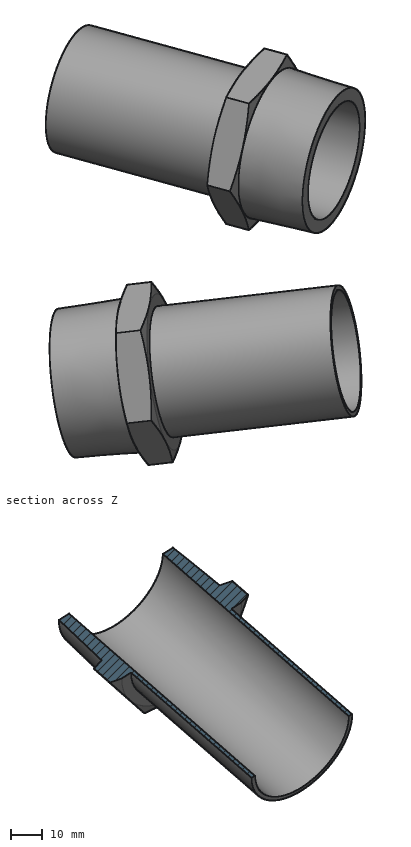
import cadquery as cq
import math

total_length = 91.0
hex_start = 59.0
hex_width = 10.1
hex_end = hex_start + hex_width

tube_diameter = 42.0
bore_diameter = 39.0
taper_large_diameter = 49.4
taper_small_diameter = 47.7

across_flats = 50.0
across_corners = across_flats / math.cos(math.radians(30))
chamfer_depth = 1.1


def revolve_about_x(profile):
    """Revolve a closed list of (x, radius) points about the X axis."""
    return cq.Workplane("XY").polyline(profile).close().revolve(360, (0, 0, 0), (1, 0, 0))


def make_tube():
    return cq.Workplane("YZ").circle(tube_diameter / 2).extrude(hex_end)


def make_hex_collar():
    """Hexagonal prism with both faces chamfered from the inscribed circle to the corners."""
    prism = cq.Workplane("YZ", origin=(hex_start, 0, 0)).polygon(6, across_corners).extrude(hex_width)
    flat_radius = across_flats / 2
    corner_radius = across_corners / 2
    chamfer_envelope = revolve_about_x([
        (hex_start, 0),
        (hex_start, flat_radius),
        (hex_start + chamfer_depth, corner_radius),
        (hex_end - chamfer_depth, corner_radius),
        (hex_end, flat_radius),
        (hex_end, 0),
    ])
    return prism.intersect(chamfer_envelope)


def make_tapered_end():
    return revolve_about_x([
        (hex_end, 0),
        (hex_end, taper_large_diameter / 2),
        (total_length, taper_small_diameter / 2),
        (total_length, 0),
    ])


bore = cq.Workplane("YZ").circle(bore_diameter / 2).extrude(total_length)

result = make_tube().union(make_hex_collar()).union(make_tapered_end()).cut(bore)